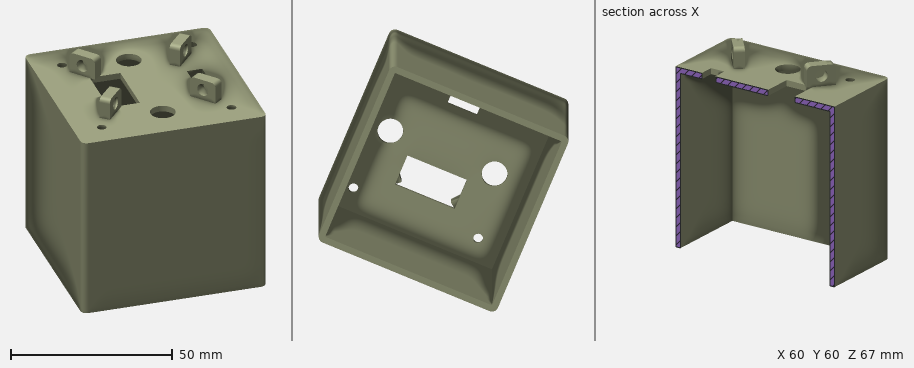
import cadquery as cq

total_height = 67.0
box_side = 60.0
lug_height = 7.0
box_height = total_height - lug_height
corner_radius = 2.0
wall = 2.0
cavity_side = box_side - 2 * wall

lug_length = 9.3
lug_thickness = 3.5
lug_round = 1.5
lug_hole_diameter = 4.0
lug_angle = 40.0
lug_x = 13.0
lug_y = 15.5

screw_hole_diameter = 3.0
screw_hole_centers = [(-20.8, 21.7), (21.4, 21.2), (-20.3, -20.7), (21.45, -21.0)]
round_opening_diameter = 8.0
round_opening_centers = [(-17.15, 0), (17.8, 0)]
small_slot_size = (10.0, 5.0)
small_slot_y = 17.5
large_slot_size = (20.0, 10.0)
large_slot_y = -10.0


def make_box():
    """Hollow box with rounded vertical edges and no floor."""
    outer = cq.Workplane("XY").box(box_side, box_side, box_height, centered=(True, True, False))
    outer = outer.edges("|Z").fillet(corner_radius)
    cavity = cq.Workplane("XY").box(
        cavity_side, cavity_side, box_height - wall, centered=(True, True, False)
    )
    return outer.cut(cavity)


def cut_plate_openings(body):
    """Cut the screw holes, round openings and rectangular slots."""
    plate = cq.Workplane("XY", origin=(0, 0, box_height))
    openings = [
        plate.pushPoints(screw_hole_centers).circle(screw_hole_diameter / 2).extrude(-wall),
        plate.pushPoints(round_opening_centers).circle(round_opening_diameter / 2).extrude(-wall),
        plate.center(0, small_slot_y).rect(*small_slot_size).extrude(-wall),
        plate.center(0, large_slot_y).rect(*large_slot_size).extrude(-wall),
    ]
    for opening in openings:
        body = body.cut(opening)
    return body


def make_lug():
    """Upright lug along X with rounded upper corners and a central cross hole."""
    lug = cq.Workplane("XY").box(lug_length, lug_thickness, lug_height, centered=(True, True, False))
    lug = lug.edges("|Y and >Z").fillet(lug_round)
    hole = (
        cq.Workplane("XZ", origin=(0, lug_thickness / 2, lug_height / 2))
        .circle(lug_hole_diameter / 2)
        .extrude(lug_thickness)
    )
    return lug.cut(hole)


result = cut_plate_openings(make_box())

lug = make_lug()
for side_x in (-1, 1):
    for side_y in (-1, 1):
        turned = lug.rotate((0, 0, 0), (0, 0, 1), side_x * side_y * lug_angle)
        result = result.union(turned.translate((side_x * lug_x, side_y * lug_y, box_height)))